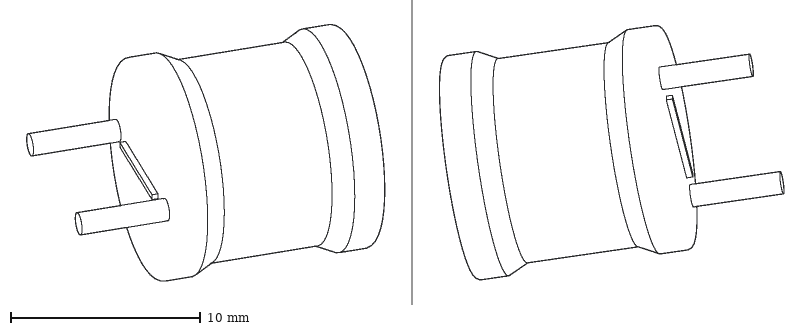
import cadquery as cq

total_length = 16.5
core_length = 11.65
pin_length = total_length - core_length

core_diameter = 12.0
waist_diameter = 10.92
flange_length = 1.75
taper_length = 1.09
rim_fillet = 0.3

pin_diameter = 1.2
pin_spacing = 8.5

rib_length = 5.65
rib_thickness = 0.3
rib_height = 0.33


def make_core():
    """Core along +Y from its mounting face at Y = 0, with a tapered waist and rounded rims."""
    core_radius = core_diameter / 2
    waist_radius = waist_diameter / 2
    waist_start = flange_length + taper_length
    waist_end = core_length - waist_start
    profile = (
        cq.Workplane("XY")
        .moveTo(0, 0)
        .lineTo(core_radius, 0)
        .lineTo(core_radius, flange_length)
        .lineTo(waist_radius, waist_start)
        .lineTo(waist_radius, waist_end)
        .lineTo(core_radius, core_length - flange_length)
        .lineTo(core_radius, core_length)
        .lineTo(0, core_length)
        .close()
    )
    core = profile.revolve(360, (0, 0, 0), (0, 1, 0))
    return core.faces("<Y or >Y").edges().fillet(rim_fillet)


def make_pin(x):
    """Round pin pointing along -Y from the mounting face."""
    return cq.Workplane("XZ").center(x, 0).circle(pin_diameter / 2).extrude(pin_length)


def make_rib():
    """Straight bar standing on the mounting face, centred between the pins."""
    return cq.Workplane("XZ").rect(rib_length, rib_thickness).extrude(rib_height)


core = make_core()
rib = make_rib()
pins = [make_pin(side * pin_spacing / 2) for side in (-1, 1)]

result = cq.Compound.makeCompound([core.val(), rib.val(), *[pin.val() for pin in pins]])